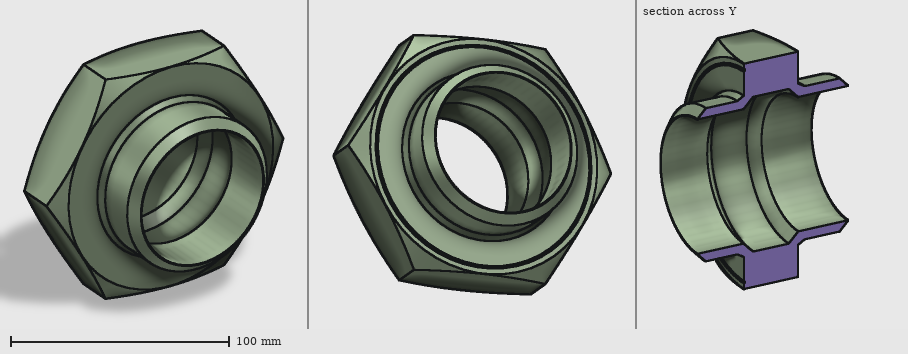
import cadquery as cq
import math

corner_width = 129.2
total_length = 80.0

collar_left = -15.4
collar_right = 13.4
collar_chamfer_angle = 30.0
chamfer_start_radius = 55.8

pipe_radius = 38.1
bore_radius = 33.2
rim_width = 0.4
neck_length = 3.5
neck_angle = 30.0

chamber_depth = 5.0

groove_outer_radius = 53.0
groove_floor_radius = 52.5
groove_inner_radius = 51.9
groove_depth = groove_floor_radius - groove_inner_radius

half_length = total_length / 2
corner_radius = corner_width / 2
end_chamfer = pipe_radius - bore_radius - rim_width
neck_radius = pipe_radius + neck_length * math.tan(math.radians(neck_angle))
chamber_radius = bore_radius + chamber_depth
corner_drop = (corner_radius - chamfer_start_radius) * math.tan(math.radians(collar_chamfer_angle))


def revolve_about_x(points):
    """Revolve a closed (x, radius) outline about the X axis."""
    return (
        cq.Workplane("XZ")
        .polyline(points)
        .close()
        .revolve(360, (0, 0, 0), (1, 0, 0))
    )


def make_collar():
    """Hexagon with corners on +Y and -Y, its corners cut back by a cone on both faces."""
    hexagon = (
        cq.Workplane("YZ")
        .workplane(offset=collar_left)
        .polygon(6, corner_width)
        .extrude(collar_right - collar_left)
    )
    corner_cones = revolve_about_x([
        (collar_left, 0),
        (collar_left, chamfer_start_radius),
        (collar_left + corner_drop, corner_radius),
        (collar_right - corner_drop, corner_radius),
        (collar_right, chamfer_start_radius),
        (collar_right, 0),
    ])
    return hexagon.intersect(corner_cones)


def make_pipe_body():
    """Both pipe stubs with their bevelled ends and the conical necks at the collar."""
    return revolve_about_x([
        (-half_length, 0),
        (-half_length, pipe_radius - end_chamfer),
        (-half_length + end_chamfer, pipe_radius),
        (collar_left - neck_length, pipe_radius),
        (collar_left, neck_radius),
        (collar_right, neck_radius),
        (collar_right + neck_length, pipe_radius),
        (half_length - end_chamfer, pipe_radius),
        (half_length, pipe_radius - end_chamfer),
        (half_length, 0),
    ])


def make_bore():
    """Through bore with the wider chamber inside the collar."""
    return revolve_about_x([
        (-half_length, 0),
        (-half_length, bore_radius),
        (collar_left, bore_radius),
        (collar_left + chamber_depth, chamber_radius),
        (collar_right - chamber_depth, chamber_radius),
        (collar_right, bore_radius),
        (half_length, bore_radius),
        (half_length, 0),
    ])


def make_face_groove():
    """Ring cut into the left collar face."""
    return revolve_about_x([
        (collar_left, groove_inner_radius),
        (collar_left + groove_depth, groove_floor_radius),
        (collar_left + groove_depth, groove_outer_radius),
        (collar_left, groove_outer_radius),
    ])


result = make_collar().union(make_pipe_body()).cut(make_bore()).cut(make_face_groove())